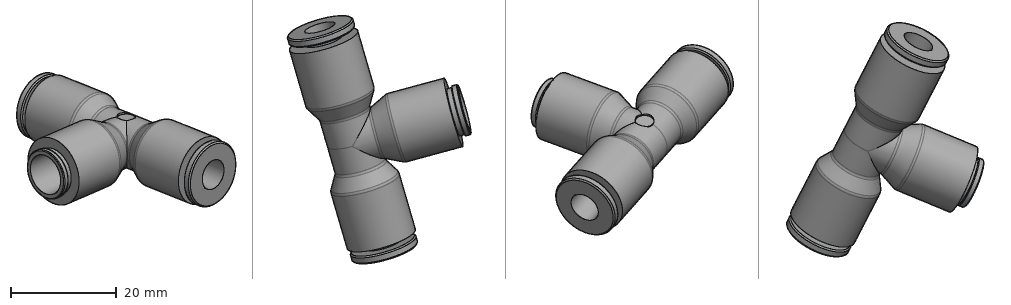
import cadquery as cq

run_half_length = 22.85
body_diameter = 13.5
body_radius = body_diameter / 2
overall_depth = 28.8
branch_length = overall_depth - body_radius
hub_radius = 4.95
edge_tolerance = 0.05

run_cone_start = 5.5
run_cone_end = 8.6
run_body_end = 20.2
run_neck_radius = 3.6
run_collar_length = 1.6
run_collar_radius = 6.5
run_collar_chamfer = 0.27
run_blend_radius = 1.1
run_bore_radius = 2.95

branch_cone_start = 4.8
branch_cone_end = 8.55
branch_body_end = 19.9
branch_neck_radius = 4.65
branch_collar_length = 1.25
branch_collar_chamfer = 0.2
branch_blend_radius = 1.1
branch_bore_radius = 3.98

recess_radius = 1.8
recess_depth = 0.4


def make_arm(cone_start, cone_end, body_end, blend_radius, neck_radius, length,
             collar_length, collar_radius, collar_chamfer):
    """Solid arm along +X: hub cylinder, blended cone, body, neck and collar."""
    shell = (
        cq.Workplane("XY")
        .moveTo(0, 0)
        .lineTo(0, hub_radius)
        .lineTo(cone_start, hub_radius)
        .lineTo(cone_end, body_radius)
        .lineTo(body_end, body_radius)
        .lineTo(body_end, 0)
        .close()
        .revolve(360, (0, 0, 0), (1, 0, 0))
    )
    for position in (cone_start, cone_end):
        nearby = cq.selectors.BoxSelector(
            (position - edge_tolerance, -body_diameter, -body_diameter),
            (position + edge_tolerance, body_diameter, body_diameter),
        )
        shell = shell.edges("%CIRCLE").edges(nearby).fillet(blend_radius)

    neck = cq.Workplane("YZ").circle(neck_radius).extrude(length)
    collar = (
        cq.Workplane("YZ")
        .workplane(offset=length - collar_length)
        .circle(collar_radius)
        .extrude(collar_length)
        .edges()
        .chamfer(collar_chamfer)
    )
    return shell.union(neck).union(collar)


run_arm = make_arm(
    run_cone_start, run_cone_end, run_body_end, run_blend_radius, run_neck_radius,
    run_half_length, run_collar_length, run_collar_radius, run_collar_chamfer,
)
branch_arm = make_arm(
    branch_cone_start, branch_cone_end, branch_body_end, branch_blend_radius, branch_neck_radius,
    branch_length, branch_collar_length, hub_radius, branch_collar_chamfer,
).rotate((0, 0, 0), (0, 0, 1), -90)

tee = run_arm.union(run_arm.mirror("YZ")).union(branch_arm)

run_bore = cq.Workplane("YZ").circle(run_bore_radius).extrude(run_half_length, both=True)
branch_bore = cq.Workplane("XZ").circle(branch_bore_radius).extrude(branch_length)

recess = (
    cq.Workplane("XY")
    .workplane(offset=hub_radius - recess_depth)
    .circle(recess_radius)
    .extrude(body_radius)
)

result = tee.cut(run_bore).cut(branch_bore).cut(recess)